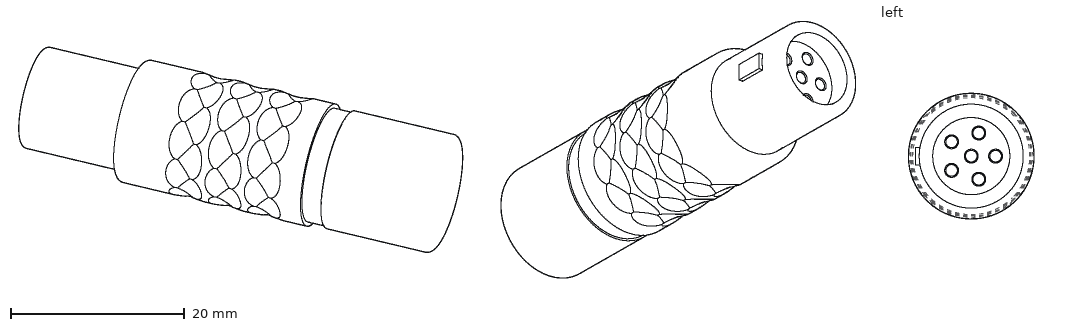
import cadquery as cq
import math

total_length = 50.0
nose_length = 12.0
nose_radius = 6.0
nose_fillet = 0.5
sleeve_end = 35.0
sleeve_radius = 7.25
sleeve_fillet = 0.6
neck_end = 37.4
neck_radius = 6.75
back_radius = 7.0
back_fillet = 0.6

socket_radius = 4.45
socket_depth = 2.8
contact_count = 5
contact_circle_radius = 2.8
contact_hole_radius = 0.67
contact_hole_depth = 4.0
contact_chamfer = 0.13
contact_chamfer_angle = 45

key_start = 2.6
key_length = 3.7
key_width = 2.0
key_top = 6.45

band_count = 3
band_pitch = 4.8
first_ring_x = 20.03
ring_offset = 1.25
scallops_per_ring = 10
scallop_radius = 3.0
scallop_depth = 0.4
scallop_cutter_length = 6.0


def cylinder_along_x(start, length, radius):
    return cq.Workplane("YZ", origin=(start, 0, 0)).circle(radius).extrude(length)


def make_scallop_cutters():
    """Cylinders lying tangentially around the sleeve, in two staggered rings per band."""
    axis_distance = sleeve_radius - scallop_depth + scallop_radius
    step = 360 / scallops_per_ring
    cutter = (
        cq.Workplane("XZ", origin=(0, scallop_cutter_length / 2, axis_distance))
        .circle(scallop_radius)
        .extrude(scallop_cutter_length)
        .val()
    )
    cutters = []
    for band in range(band_count):
        left_x = first_ring_x + band * band_pitch
        for ring_x, phase in ((left_x, step / 2), (left_x + ring_offset, 0)):
            for index in range(scallops_per_ring):
                turned = cutter.rotate(cq.Vector(0, 0, 0), cq.Vector(1, 0, 0), phase + index * step)
                cutters.append(turned.translate(cq.Vector(ring_x, 0, 0)))
    return cutters


def make_sleeve():
    sleeve = cylinder_along_x(nose_length, sleeve_end - nose_length, sleeve_radius)
    sleeve = sleeve.faces("<X").edges().fillet(sleeve_fillet)
    return cq.Workplane(sleeve.val().cut(*make_scallop_cutters()))


def make_shell():
    nose = cylinder_along_x(0, nose_length, nose_radius).faces("<X").edges().fillet(nose_fillet)
    neck = cylinder_along_x(sleeve_end, neck_end - sleeve_end, neck_radius)
    back = cylinder_along_x(neck_end, total_length - neck_end, back_radius)
    back = back.faces(">X").edges().fillet(back_fillet)
    return nose.union(make_sleeve()).union(neck).union(back)


def make_key():
    bar = cq.Workplane("XY").box(key_length, key_top, key_width, centered=(False, False, True))
    return bar.translate((key_start, 0, 0))


def contact_positions():
    """One contact on the axis and a ring of contacts starting at the -Y side, as (y, z)."""
    positions = [(0, 0)]
    for index in range(contact_count):
        angle = math.pi + index * math.tau / contact_count
        positions.append((contact_circle_radius * math.cos(angle), contact_circle_radius * math.sin(angle)))
    return positions


def cut_contact_holes(body):
    floor = cq.Workplane("YZ", origin=(socket_depth, 0, 0)).pushPoints(contact_positions())
    holes = floor.circle(contact_hole_radius).extrude(contact_hole_depth)
    mouth_radius = contact_hole_radius + contact_chamfer
    mouths = floor.circle(mouth_radius).extrude(contact_chamfer, taper=contact_chamfer_angle)
    return body.cut(holes).cut(mouths)


body = make_shell().union(make_key())
body = body.cut(cylinder_along_x(0, socket_depth, socket_radius))
result = cut_contact_holes(body)